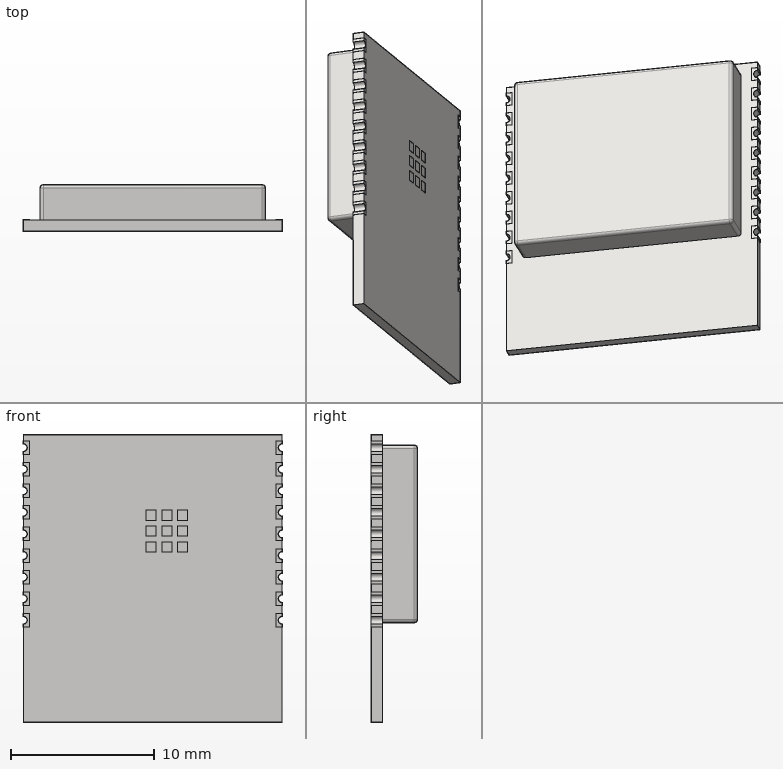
import cadquery as cq

board_width = 18.0
board_thickness = 0.8
board_height = 20.0

can_width = 15.68
can_depth = 2.45
can_height = 12.35
can_top_gap = 0.72
can_fillet = 0.25

copper = 0.01

pad_count = 9
pad_pitch = 1.5
pad_height = 0.95
pad_reach = 0.42
first_pad_drop = 0.9
notch_radius = 0.25

grid_count = 3
grid_pitch = 1.1
grid_pad_size = 0.7
grid_center_x = 0.98
grid_center_drop = 6.7


def block(size_x, size_y, size_z, center_x, front_y, center_z):
    """Box centred in X and Z that runs back (+Y) from front_y."""
    return (
        cq.Workplane("XY")
        .box(size_x, size_y, size_z, centered=(True, False, True))
        .translate((center_x, front_y, center_z))
    )


def make_can():
    center_z = -can_top_gap - can_height / 2
    can = block(can_width, can_depth, can_height, 0, board_thickness, center_z)
    return can.edges("|Y or >Y").fillet(can_fillet)


def edge_pad(side, center_z):
    """Pad that stands proud of the front, the back and one side (-1 or 1) of the board."""
    pad_width = pad_reach + copper
    center_x = side * (board_width / 2 + copper - pad_width / 2)
    return block(pad_width, board_thickness + 2 * copper, pad_height, center_x, -copper, center_z)


def edge_notch(side, center_z):
    """Round cutter along Y, centred on the board edge, passing through board and pad."""
    return (
        cq.Workplane("XZ", origin=(side * board_width / 2, -copper, center_z))
        .circle(notch_radius)
        .extrude(-(board_thickness + 2 * copper))
    )


board = block(board_width, board_thickness, board_height, 0, 0, -board_height / 2)
result = board.union(make_can())

for side in (-1, 1):
    for index in range(pad_count):
        pad_z = -first_pad_drop - index * pad_pitch
        result = result.union(edge_pad(side, pad_z)).cut(edge_notch(side, pad_z))

for column in range(grid_count):
    for row in range(grid_count):
        pad_x = grid_center_x + (column - (grid_count - 1) / 2) * grid_pitch
        pad_z = -grid_center_drop + (row - (grid_count - 1) / 2) * grid_pitch
        result = result.union(block(grid_pad_size, copper, grid_pad_size, pad_x, -copper, pad_z))